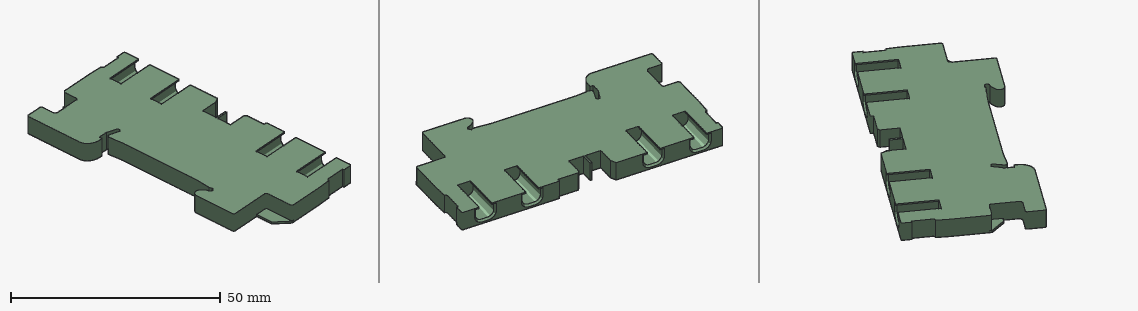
import cadquery as cq
import math

length = 72.2
height = 35.2
thickness = 5.1

edge_search = 0.05

end_lip_inset = 0.3
end_lip_depth = 2.65
end_recess_inset = 0.75
end_recess_radius = 0.55
shoulder_inset = 0.15
shoulder_y = 26.9
taper_end_y = 23.2
end_corner_radius = 0.4

underside_y = 13.2
left_wall_x = 4.55
right_wall_x = 64.0
outer_corner_radius = 0.6
inner_corner_radius = 0.5

plate_thickness = 0.6
plate_bottom_y = 9.75
plate_overlap = 1.0
plate_chamfer = underside_y - plate_bottom_y

left_foot_top_y = 5.1
left_foot_root_radius = 0.9
left_foot_corner_radius = 0.45
left_toe_start_x = 16.65
left_toe_lower_mid = (17.87, 0.36)
left_toe_bend = (18.76, 1.1)
left_toe_upper_mid = (19.33, 2.1)
left_toe_x = 19.65
left_toe_y = 3.35
left_hook_y = 4.65
left_hook_x = 18.8

slot_radius = 0.55
slot_x = 20.27
slot_y = 9.57
slot_tilt = math.radians(18)
slot_blind_length = 1.15
slot_floor_thickness = plate_thickness
slot_bend_y = 7.2
slot_lip_radius = 0.65

seat_y = 6.4
seat_edge_y = 6.0
seat_left_x = 24.6
seat_right_x = 47.7
seat_lip_right_x = 52.2

right_foot_y = 1.45
right_foot_corner_radius = 0.5
nose_x = 52.2
nose_radius = 1.35
nose_center_y = right_foot_y + nose_radius
nose_top_x = 52.3
nose_top_y = 4.65
groove_center_x = 53.0
groove_center_y = 5.6
groove_radius = 0.65

opening_left_x = 30.4
opening_right_x = 39.15
opening_floor_y = 29.0
opening_left_chamfer_x = 0.75
opening_left_chamfer_y = 1.5
opening_right_chamfer = 0.5
low_edge_y = 34.4
low_edge_end_x = 45.1
low_edge_step_radius = 0.3
pin_x = 34.9
pin_width = 0.5
pin_top_y = 32.3

channel_centers = (6.58, 19.38, 52.65, 65.45)
channel_opening_width = 3.5
channel_width = 5.0
channel_radius = 1.65
channel_bottom_y = 24.7
channel_floor_z = 1.0
channel_lip_thickness = 0.4
mouth_flare = 0.5


def slot_point(along, across):
    """Point in the slot frame: along its axis from the round end, and to its right."""
    x = slot_x - along * math.sin(slot_tilt) + across * math.cos(slot_tilt)
    y = slot_y - along * math.cos(slot_tilt) - across * math.sin(slot_tilt)
    return (x, y)


def slot_lip_corner():
    """Sharp corner where the right wall of the slot runs down to the rail seat."""
    drop = slot_y - slot_radius * math.sin(slot_tilt) - seat_edge_y
    return slot_point(drop / math.cos(slot_tilt), slot_radius)


def body_outline():
    """Closed outline with sharp block corners, followed counterclockwise from the left foot."""
    diagonal = math.sqrt(0.5)
    return (
        cq.Workplane("XY")
        .moveTo(0, 0)
        .lineTo(left_toe_start_x, 0)
        .threePointArc(left_toe_lower_mid, left_toe_bend)
        .threePointArc(left_toe_upper_mid, (left_toe_x, left_toe_y))
        .lineTo(left_toe_x, left_hook_y)
        .lineTo(left_hook_x, left_hook_y)
        .lineTo(left_hook_x, slot_bend_y)
        .lineTo(*slot_point(slot_blind_length, -slot_radius))
        .lineTo(*slot_point(0, -slot_radius))
        .threePointArc(slot_point(-slot_radius, 0), slot_point(0, slot_radius))
        .lineTo(*slot_lip_corner())
        .lineTo(seat_left_x, seat_y)
        .lineTo(seat_right_x, seat_y)
        .lineTo(seat_lip_right_x, seat_edge_y)
        .lineTo(groove_center_x, groove_center_y + groove_radius)
        .threePointArc(
            (groove_center_x + groove_radius, groove_center_y),
            (groove_center_x, groove_center_y - groove_radius),
        )
        .lineTo(nose_top_x, nose_top_y)
        .lineTo(nose_x - nose_radius * diagonal, nose_center_y + nose_radius * diagonal)
        .threePointArc((nose_x - nose_radius, nose_center_y), (nose_x, right_foot_y))
        .lineTo(right_wall_x, right_foot_y)
        .lineTo(right_wall_x, underside_y)
        .lineTo(length, underside_y)
        .lineTo(length, taper_end_y)
        .lineTo(length - shoulder_inset, shoulder_y)
        .lineTo(length - end_recess_inset, shoulder_y)
        .lineTo(length - end_recess_inset, height - end_lip_depth)
        .lineTo(length - end_lip_inset, height - end_lip_depth)
        .lineTo(length - end_lip_inset, height)
        .lineTo(low_edge_end_x, height)
        .lineTo(low_edge_end_x, low_edge_y)
        .lineTo(opening_right_x + opening_right_chamfer, low_edge_y)
        .lineTo(opening_right_x, low_edge_y - opening_right_chamfer)
        .lineTo(opening_right_x, opening_floor_y)
        .lineTo(opening_left_x, opening_floor_y)
        .lineTo(opening_left_x, height - opening_left_chamfer_y)
        .lineTo(opening_left_x - opening_left_chamfer_x, height)
        .lineTo(end_lip_inset, height)
        .lineTo(end_lip_inset, height - end_lip_depth)
        .lineTo(end_recess_inset, height - end_lip_depth)
        .lineTo(end_recess_inset, shoulder_y)
        .lineTo(shoulder_inset, shoulder_y)
        .lineTo(0, taper_end_y)
        .lineTo(0, underside_y)
        .lineTo(left_wall_x, underside_y)
        .lineTo(left_wall_x, left_foot_top_y)
        .lineTo(0, left_foot_top_y)
        .close()
    )


def round_corner(solid, x, y, radius):
    """Round the full-height edge that stands at (x, y)."""
    box = cq.selectors.BoxSelector(
        (x - edge_search, y - edge_search, 0),
        (x + edge_search, y + edge_search, thickness),
    )
    return solid.edges("|Z").edges(box).fillet(radius)


def make_body():
    body = body_outline().extrude(thickness)
    rounded_corners = (
        (0, 0, left_foot_corner_radius),
        (*slot_lip_corner(), slot_lip_radius),
        (0, left_foot_top_y, left_foot_corner_radius),
        (left_wall_x, left_foot_top_y, left_foot_root_radius),
        (left_wall_x, underside_y, inner_corner_radius),
        (0, underside_y, outer_corner_radius),
        (end_lip_inset, height, end_corner_radius),
        (length - end_lip_inset, height, end_corner_radius),
        (end_recess_inset, shoulder_y, end_recess_radius),
        (length - end_recess_inset, shoulder_y, end_recess_radius),
        (low_edge_end_x, height, low_edge_step_radius),
        (length, underside_y, outer_corner_radius),
        (right_wall_x, underside_y, inner_corner_radius),
        (right_wall_x, right_foot_y, right_foot_corner_radius),
    )
    for x, y, radius in rounded_corners:
        body = round_corner(body, x, y, radius)
    return body


def guard_plate(wall_x, outer_x):
    """Thin plate below one end, chamfered from the end face down to its lower edge."""
    inward = math.copysign(1, wall_x - outer_x)
    inner_x = wall_x + inward * plate_overlap
    plate_top_y = underside_y + outer_corner_radius
    return (
        cq.Workplane("XY")
        .moveTo(inner_x, plate_top_y)
        .lineTo(outer_x, plate_top_y)
        .lineTo(outer_x, underside_y)
        .lineTo(outer_x + inward * plate_chamfer, plate_bottom_y)
        .lineTo(inner_x, plate_bottom_y)
        .close()
        .extrude(plate_thickness)
    )


def slot_floor():
    """Thin web closing the round end of the slot at the bottom face."""
    return (
        cq.Workplane("XY")
        .moveTo(*slot_point(slot_blind_length, -slot_radius))
        .lineTo(*slot_point(0, -slot_radius))
        .threePointArc(slot_point(-slot_radius, 0), slot_point(0, slot_radius))
        .lineTo(*slot_point(slot_blind_length, slot_radius))
        .close()
        .extrude(slot_floor_thickness)
    )


def pin():
    return (
        cq.Workplane("XY")
        .rect(pin_width, 2 * (pin_top_y - opening_floor_y))
        .extrude(thickness)
        .translate((pin_x, opening_floor_y, 0))
    )


def channel_cutter(center_x):
    """Slot with a rounded bottom, a narrower opening at the top and a 45 degree flared mouth."""
    lip_z = thickness - channel_lip_thickness
    channel_length = height - channel_bottom_y
    profile = (
        cq.Sketch()
        .rect(channel_width, 2 * (lip_z - channel_floor_z))
        .vertices("<Y")
        .fillet(channel_radius)
        .moved(cq.Location(cq.Vector(center_x, lip_z, 0)))
    )
    channel = cq.Workplane("XZ", origin=(0, height, 0)).placeSketch(profile).extrude(channel_length)
    flare = (
        cq.Workplane("XZ", origin=(0, height - mouth_flare, 0))
        .placeSketch(profile)
        .extrude(-mouth_flare, taper=-45)
    )
    below_lips = cq.Workplane("XY").box(length, height, lip_z, centered=False)
    opening = (
        cq.Workplane("XY")
        .box(channel_opening_width, channel_length, thickness, centered=(True, False, False))
        .translate((center_x, channel_bottom_y, lip_z))
    )
    return channel.union(flare).intersect(below_lips).union(opening)


def make_part():
    part = make_body()
    part = part.union(guard_plate(left_wall_x, 0))
    part = part.union(guard_plate(right_wall_x, length))
    part = part.union(slot_floor())
    part = part.union(pin())
    for center_x in channel_centers:
        part = part.cut(channel_cutter(center_x))
    return part


result = make_part()